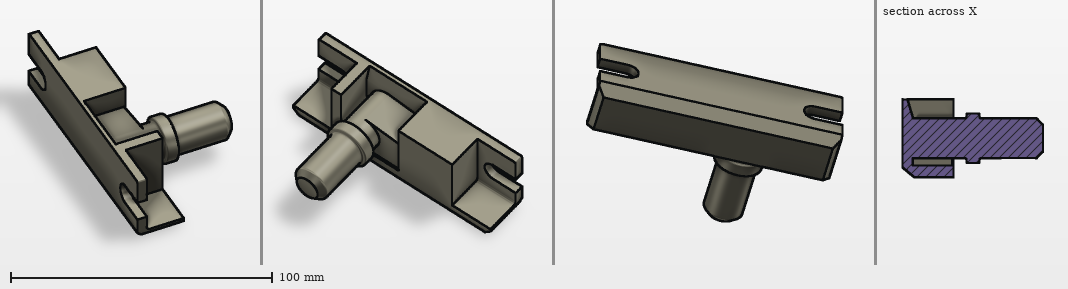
import cadquery as cq
import math

length = 96.0
height = 30.0
depth = 19.7
wall = 4.0
side_recess = 18.6
recess_fillet = 1.3
plate_corner_radius = 1.0
end_chamfer = 2.6
front_bevel_depth = 4.6
front_bevel_height = 3.8

slot_width = 8.5
slot_depth = 15.2

pin_x = 62.3
pin_z = height / 2
pin_radius = 15.5 / 2
pin_tip_y = 54.0
tip_chamfer = 2.6
tip_edge_radius = 1.0
collar_radius = 19.0 / 2
collar_start_y = 24.6
collar_end_y = 29.6
collar_fillet = 0.6

pocket_left = 44.8
pocket_radius = 10.4
pocket_lip_y = 2.0
slope_clearance = 0.5
pocket_slope_z = pin_z + pin_radius + slope_clearance

arm_end_y = 19.0
arm_angle = math.radians(7)


def make_bracket():
    """Full-length block with end recesses and bevelled lower edges."""
    body = cq.Workplane("XY").box(length, depth, height, centered=False)
    for x in (0, length - side_recess):
        recess = (
            cq.Workplane("XY")
            .box(side_recess, depth - wall, height - wall, centered=False)
            .edges("|X and <Y and <Z")
            .fillet(recess_fillet)
            .translate((x, wall, wall))
        )
        body = body.cut(recess)
    body = body.edges("|Y and >Z and (<X or >X)").fillet(plate_corner_radius)
    body = body.edges("|Y and <Z and (<X or >X)").chamfer(end_chamfer)
    bevel = (
        cq.Workplane("YZ")
        .polyline([(0, 0), (front_bevel_depth, 0), (0, front_bevel_height)])
        .close()
        .extrude(length)
    )
    return body.cut(bevel)


def make_slots():
    """Round-ended slots entering the plate from both ends."""
    slots = cq.Workplane("XY")
    for x in (0, length):
        slot = (
            cq.Workplane("XZ", origin=(x, 0, height / 2))
            .slot2D(2 * slot_depth, slot_width)
            .extrude(-wall)
        )
        slots = slots.add(slot)
    return slots.combine()


def make_pocket():
    """Pocket with a flat left side and a floor curving up around the pin."""
    right = pin_x + pocket_radius
    floor = pin_z - pocket_radius
    bend = pocket_radius * math.sqrt(0.5)
    pocket = (
        cq.Workplane("XZ", origin=(0, wall, 0))
        .moveTo(pocket_left, height)
        .lineTo(pocket_left, floor)
        .lineTo(pin_x, floor)
        .threePointArc((pin_x + bend, pin_z - bend), (right, pin_z))
        .lineTo(right, height)
        .close()
        .extrude(wall - depth)
    )
    front_slope = (
        cq.Workplane("YZ", origin=(pocket_left, 0, 0))
        .polyline([(pocket_lip_y, height), (wall, height), (wall, pocket_slope_z)])
        .close()
        .extrude(right - pocket_left)
    )
    return pocket.union(front_slope)


def make_arm():
    """Solid arm whose sloping top runs tangentially onto the pin."""
    tangent_x = pin_x - pin_radius * math.sin(arm_angle)
    tangent_z = pin_z + pin_radius * math.cos(arm_angle)
    end_z = tangent_z - (tangent_x - pocket_left) * math.tan(arm_angle)
    floor = pin_z - pocket_radius
    return (
        cq.Workplane("XZ", origin=(0, wall, 0))
        .polyline([
            (pocket_left, floor),
            (pin_x, floor),
            (pin_x, pin_z),
            (tangent_x, tangent_z),
            (pocket_left, end_z),
        ])
        .close()
        .extrude(wall - arm_end_y)
    )


def make_pin():
    """Collared pin with a chamfered tip."""
    pin = (
        cq.Workplane("XZ", origin=(pin_x, wall, pin_z))
        .circle(pin_radius)
        .extrude(wall - pin_tip_y)
        .faces(">Y")
        .chamfer(tip_chamfer)
    )
    tip_edge_y = pin_tip_y - tip_chamfer
    tip_edge = cq.selectors.NearestToPointSelector((pin_x, tip_edge_y, pin_z))
    pin = pin.edges(tip_edge).fillet(tip_edge_radius)
    collar = (
        cq.Workplane("XZ", origin=(pin_x, collar_start_y, pin_z))
        .circle(collar_radius)
        .extrude(collar_start_y - collar_end_y)
    )
    pin = pin.union(collar)
    collar_edges = cq.selectors.BoxSelector(
        (pin_x - collar_radius, collar_start_y - collar_fillet, pin_z - collar_radius),
        (pin_x + collar_radius, collar_end_y + collar_fillet, pin_z + collar_radius),
    )
    return pin.edges("%CIRCLE").edges(collar_edges).fillet(collar_fillet)


bracket = make_bracket().cut(make_slots()).cut(make_pocket())
result = bracket.union(make_arm()).union(make_pin())